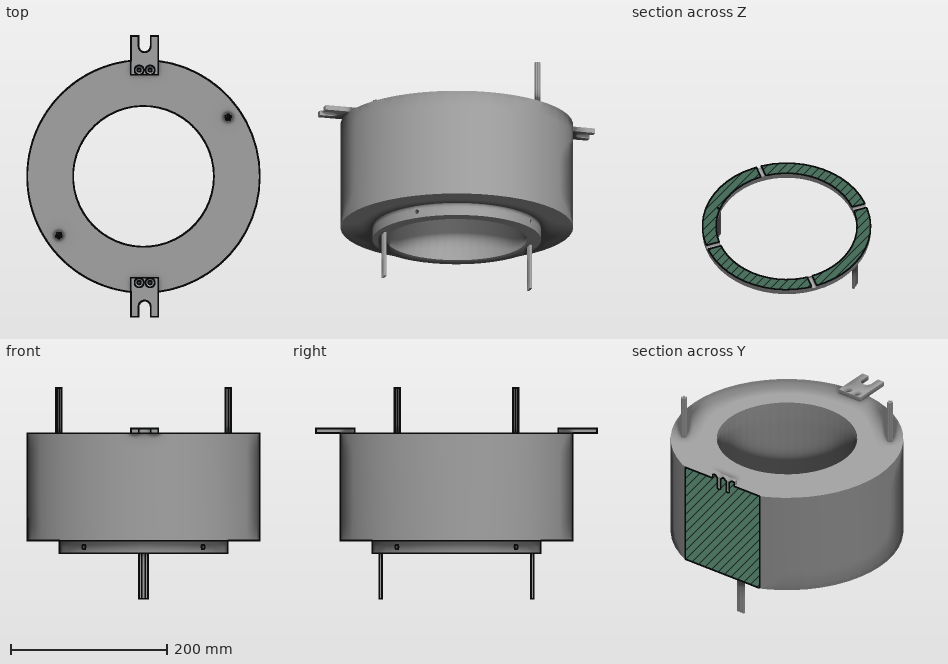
import cadquery as cq
import math

housing_radius = 149.0
housing_height = 137.5
collar_radius = 108.0
collar_height = 16.2
bore_radius = 90.0

outer_shell_wall = 4.0
inner_shell_wall = 5.0
potting_depth = 7.2

collar_hole_diameter = 6.0
collar_hole_count = 4

tab_width = 35.0
tab_length = 50.0
tab_thickness = 6.0
tab_tip_y = 180.0
tab_shift_x = 1.5
slot_width = 15.0
slot_depth = 21.0
slot_end_radius = slot_width / 2

screw_pitch = 14.0
screw_diameter = 4.5
screw_head_diameter = 12.0
countersink_depth = 3.5
screw_edge_distance = 6.0
screw_hole_depth = 18.0
drill_tip_angle = 118

wire_gap = 0.1
wire_embedding = 7.2
upper_wire_diameter = 3.0
upper_wire_length = 58.0
upper_wire_count = 5
upper_wire_start_angle = 90
upper_lead_x = 108.5
upper_lead_y = 75.5
grommet_diameter = 10.0
grommet_depth = 1.8
lower_wire_diameter = 4.0
lower_wire_length = 58.5
lower_wire_count = 3
lower_lead_y = 97.2


def cylinder(radius, z_bottom, z_top, x=0.0, y=0.0):
    """Upright cylinder between two heights."""
    plane = cq.Workplane("XY").workplane(offset=z_bottom)
    return plane.center(x, y).circle(radius).extrude(z_top - z_bottom)


def add_flush_inlay(body, inlay):
    """Replace part of the body by an inlay, keeping its outline as an edge on the flush surface."""
    return body.cut(inlay, clean=False).union(inlay, clean=False)


def make_housing():
    """Ring-shaped housing with its collar and bore."""
    body = cylinder(housing_radius, 0, housing_height)
    body = body.union(cylinder(collar_radius, -collar_height, 0))
    return body.cut(cylinder(bore_radius, -collar_height, housing_height))


def make_potting():
    """Flat ring of potting compound between the two shells."""
    bottom = housing_height - potting_depth
    outer = cylinder(housing_radius - outer_shell_wall, bottom, housing_height)
    return outer.cut(cylinder(bore_radius + inner_shell_wall, bottom, housing_height))


def make_collar_holes():
    """Radial holes through the collar wall, centred on the diagonals."""
    holes = cq.Workplane("XY")
    for index in range(collar_hole_count):
        angle = math.radians(360 / collar_hole_count * (index + 0.5))
        direction = cq.Vector(math.cos(angle), math.sin(angle), 0)
        start = direction * bore_radius + cq.Vector(0, 0, -collar_height / 2)
        hole = cq.Solid.makeCylinder(collar_hole_diameter / 2, collar_radius, start, direction)
        holes = holes.add(hole)
    return holes.combine()


def tab_block(side, width, length):
    """Block as thick as a tab, reaching from the tab tip toward the axis."""
    plane = cq.Workplane("XY").workplane(offset=housing_height)
    block = plane.center(tab_shift_x, side * (tab_tip_y - length / 2)).rect(width, length)
    return block.extrude(tab_thickness)


def make_tab(side):
    """Tab with a round-ended slot; side is +1 for the +Y tab and -1 for the -Y tab."""
    straight_length = slot_depth - slot_end_radius
    slot_end_y = side * (tab_tip_y - straight_length)
    tab_top = housing_height + tab_thickness
    slot_end = cylinder(slot_end_radius, housing_height, tab_top, tab_shift_x, slot_end_y)
    slot = tab_block(side, slot_width, straight_length).union(slot_end)
    return tab_block(side, tab_width, tab_length).cut(slot)


def make_screw_hole(x, y):
    """Countersunk blind hole with a conical drill point."""
    hole_radius = screw_diameter / 2
    head_radius = screw_head_diameter / 2
    top = housing_height + tab_thickness
    bottom = top - screw_hole_depth
    tip = hole_radius / math.tan(math.radians(drill_tip_angle / 2))
    profile = (
        cq.Workplane("XZ")
        .moveTo(0, top)
        .lineTo(head_radius, top)
        .lineTo(hole_radius, top - countersink_depth)
        .lineTo(hole_radius, bottom)
        .lineTo(0, bottom - tip)
        .close()
    )
    return profile.revolve(360, (0, 0, 0), (0, 1, 0)).translate((x, y, 0))


def make_grommet(side):
    """Round flush plug that the upper lead passes through."""
    bottom = housing_height - grommet_depth
    return cylinder(grommet_diameter / 2, bottom, housing_height, side * upper_lead_x, side * upper_lead_y)


def make_upper_lead(side):
    """Ring of closely spaced wires rising from the top face; the two leads are half a turn apart."""
    pitch = upper_wire_diameter + wire_gap
    ring_radius = pitch / 2 / math.sin(math.pi / upper_wire_count)
    z_bottom = housing_height - wire_embedding
    z_top = housing_height + upper_wire_length
    wires = cq.Workplane("XY")
    for index in range(upper_wire_count):
        angle = math.radians(upper_wire_start_angle + 360 / upper_wire_count * index)
        x = side * (upper_lead_x + ring_radius * math.cos(angle))
        y = side * (upper_lead_y + ring_radius * math.sin(angle))
        wires = wires.union(cylinder(upper_wire_diameter / 2, z_bottom, z_top, x, y))
    return wires


def make_lower_lead(side):
    """Row of wires along X hanging from the collar."""
    pitch = lower_wire_diameter + wire_gap
    z_bottom = -collar_height - lower_wire_length
    z_top = wire_embedding - collar_height
    wires = cq.Workplane("XY")
    for index in range(lower_wire_count):
        x = (index - (lower_wire_count - 1) / 2) * pitch
        wires = wires.union(cylinder(lower_wire_diameter / 2, z_bottom, z_top, x, side * lower_lead_y))
    return wires


result = make_housing().cut(make_collar_holes())
result = add_flush_inlay(result, make_potting())
for side in (-1, 1):
    result = result.union(make_tab(side), clean=False)
    screw_y = side * (tab_tip_y - tab_length + screw_edge_distance)
    for offset in (-screw_pitch / 2, screw_pitch / 2):
        result = result.cut(make_screw_hole(tab_shift_x + offset, screw_y), clean=False)
    result = add_flush_inlay(result, make_grommet(side))
    result = result.union(make_upper_lead(side), clean=False)
    result = result.union(make_lower_lead(side), clean=False)